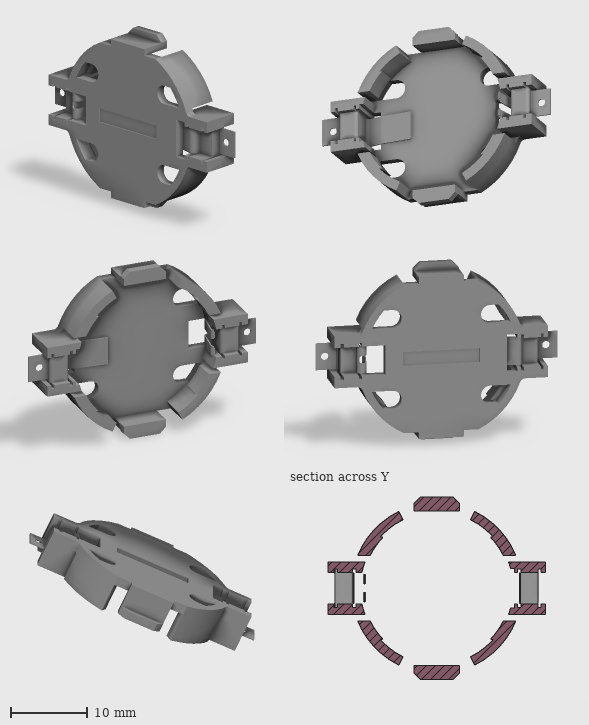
import cadquery as cq
import math


depth = 5.2
base_depth = 1.25
rim_radius = 11.25
cell_radius = 9.98
flat_height = 10.08
notch_half_width = 4.95

latch_half_width = 3.0
latch_height = 10.98
latch_depth = 4.33
hook_height = 23.95 / 2
hook_depth = 1.1
hook_chamfer = 0.87

arm_end = 14.25
arm_half_height = 3.5
arm_gap = 2.0
arm_fillet = 0.7

opening_radius = 1.25
opening_x = 6.55
opening_z = 5.5
opening_reach = 10.2
opening_depth = 1.87
lip_radius = 9.7
lip_slope = 0.2

left_window_inner = 7.5
right_window_inner = 8.72
right_window_outer = 10.17
right_window_half = 2.6

label_length = 10.27
label_height = 1.87
label_depth = 0.15

sheet = 0.2
clip_inner = 11.0
clip_outer = 13.26
clip_radius = 0.307
tab_radius = 0.25
spring_radius = 0.533
tab_y = 3.23
web_y = latch_depth
tab_half = 1.8
spring_half = 1.9
ear_half = 2.45
hole_radius = 0.5
tab_end = 16.15
left_hole_x = 14.92
right_hole_x = 14.6

groove_width = 0.4
groove_half = 2.5
block_front = 2.07
block_back = web_y - sheet / 2 - clip_radius
left_block_outer = clip_outer - 0.23
right_block_outer = clip_outer

prong_bend_y = 1.35
prong_lean = 9
prong_length = 3.2
prong_tip_radius = 0.3
prong_tip_turn = 90
prong_slot_half = 0.52
prong_slot_end = 10.75
prong_slot_corner = 0.32
nub_half_width = 0.42
nub_height = 0.13

leaf_bend_y = 1.55
leaf_rise = 13
leaf_tip_rise = 5
leaf_rise_length = 1.68
leaf_kink_radius = 0.97
leaf_end = 4.23


def slab(y0, y1):
    """XZ workplane at y0, and the extrusion distance that reaches y1."""
    return cq.Workplane("XZ", origin=(0, y0, 0)), y0 - y1


def block(x0, x1, y0, y1, z0, z1):
    return cq.Workplane("XY").box(x1 - x0, y1 - y0, z1 - z0, centered=False).translate((x0, y0, z0))


def disc(radius, y0, y1):
    plane, distance = slab(y0, y1)
    return plane.circle(radius).extrude(distance)


def four_ways(shape):
    """The shape together with its mirror images in X and Z."""
    pair = shape.union(shape.mirror("YZ"))
    return pair.union(pair.mirror("XY"))


def arm_blend():
    """Concave corner between the floor disc and an arm."""
    centre_z = arm_half_height + arm_fillet
    centre_x = math.sqrt((rim_radius + arm_fillet) ** 2 - centre_z**2)
    corner = block(cell_radius, centre_x, 0, base_depth, arm_half_height, centre_z)
    touch = rim_radius / (rim_radius + arm_fillet)
    plane, distance = slab(0, base_depth)
    wedge = plane.polyline(
        [
            (cell_radius, arm_half_height),
            (centre_x, arm_half_height),
            (centre_x, centre_z),
            (centre_x * touch, centre_z * touch),
        ]
    ).close().extrude(distance)
    round_cut = disc(arm_fillet, 0, base_depth).translate((centre_x, 0, centre_z))
    return corner.intersect(wedge).cut(round_cut)


def body_disc():
    """Rim and floor, cut flat at top and bottom."""
    flats = block(-rim_radius, rim_radius, 0, depth, -flat_height, flat_height)
    return disc(rim_radius, 0, depth).intersect(flats)


def rim_notches():
    """Openings above the floor: radial ones around the latches, straight ones beside the arms."""
    spread = rim_radius * notch_half_width / flat_height
    plane, distance = slab(base_depth, depth)
    radial = plane.polyline([(0, 0), (spread, rim_radius), (-spread, rim_radius)]).close().extrude(distance)
    wall_end = opening_z - opening_radius
    beside_arms = block(-rim_radius, rim_radius, base_depth, depth, -wall_end, wall_end)
    return radial.union(radial.mirror("XY")).union(beside_arms)


def latch():
    post = block(-latch_half_width, latch_half_width, 0, latch_depth, flat_height, latch_height)
    hook = block(
        -latch_half_width, latch_half_width, latch_depth - hook_depth, latch_depth, flat_height, hook_height
    )
    hook = hook.edges("|Y and >Z").chamfer(hook_chamfer)
    return post.union(hook)


def opening():
    """Floor opening: half-round towards the centre, concentric with the rim on the outside."""
    stadium = disc(opening_radius, 0, opening_depth).translate((opening_x, 0, opening_z))
    straight = block(
        opening_x, rim_radius, 0, opening_depth, opening_z - opening_radius, opening_z + opening_radius
    )
    return stadium.union(straight).intersect(disc(opening_reach, 0, opening_depth))


def snap_lip():
    """Lip with a conical underside on the inside of the rim, facing an opening."""
    profile = [
        (cell_radius, opening_depth),
        (rim_radius, opening_depth),
        (rim_radius, depth),
        (lip_radius, depth),
        (lip_radius, opening_depth + lip_slope),
    ]
    ring = cq.Workplane("XY").polyline(profile).close().revolve(360, (0, 0, 0), (0, 1, 0))
    span = block(0, rim_radius, 0, depth, opening_z - opening_radius, opening_z + opening_radius)
    return ring.intersect(span).intersect(disc(rim_radius, 0, depth))


def groove(x0, x1):
    return block(x0, x1, 0, depth, -groove_half, groove_half)


def make_housing():
    body = body_disc().cut(rim_notches())
    body = body.union(latch()).union(latch().mirror("XY"))
    body = body.union(block(-arm_end, arm_end, 0, depth, -arm_half_height, arm_half_height))
    body = body.union(four_ways(arm_blend()))
    body = body.cut(disc(cell_radius, base_depth, depth))

    body = body.union(four_ways(snap_lip())).cut(four_ways(opening()))

    body = body.cut(block(-arm_end, -left_window_inner, 0, depth, -arm_gap, arm_gap))
    body = body.cut(block(right_window_inner, arm_end, 0, depth, -arm_gap, arm_gap))
    body = body.cut(
        block(right_window_inner, right_window_outer, 0, depth, -right_window_half, right_window_half)
    )

    body = body.union(block(-left_block_outer, -clip_inner, block_front, block_back, -arm_gap, arm_gap))
    body = body.union(block(clip_inner, right_block_outer, block_front, block_back, -arm_gap, arm_gap))
    body = body.cut(groove(-clip_outer - sheet, -left_block_outer))
    body = body.cut(groove(right_block_outer, right_block_outer + groove_width))
    body = body.cut(groove(-clip_inner, -clip_inner + groove_width))
    body = body.cut(groove(clip_inner - groove_width, clip_inner))

    half_length = label_length / 2
    return body.cut(block(-half_length, half_length, 0, label_depth, -label_height / 2, label_height / 2))


def bent_strip(x, y, steps):
    """Sheet-metal strip starting at (x, y) towards +X, along the middle of the sheet.

    Each step is ("flat", length, half width) or ("bend", angle, radius, half width); positive
    angles turn left.
    """
    heading = 0
    strip = None
    for kind, amount, *rest in steps:
        half = rest[-1]
        if kind == "flat":
            piece = block(0, amount, -sheet / 2, sheet / 2, -half, half)
            end = (amount, 0)
        else:
            side = math.copysign(1, amount)
            radius = rest[0]
            turn = math.radians(abs(amount))

            def arc_point(r, angle):
                return (r * math.sin(angle), side * (radius - r * math.cos(angle)))

            near = radius - sheet / 2
            far = radius + sheet / 2
            piece = (
                cq.Workplane("XY")
                .moveTo(*arc_point(near, 0))
                .threePointArc(arc_point(near, turn / 2), arc_point(near, turn))
                .lineTo(*arc_point(far, turn))
                .threePointArc(arc_point(far, turn / 2), arc_point(far, 0))
                .close()
                .extrude(half, both=True)
            )
            end = arc_point(radius, turn)
        piece = piece.rotate((0, 0, 0), (0, 0, 1), heading).translate((x, y, 0))
        strip = piece if strip is None else strip.union(piece)
        angle = math.radians(heading)
        x += end[0] * math.cos(angle) - end[1] * math.sin(angle)
        y += end[0] * math.sin(angle) + end[1] * math.cos(angle)
        if kind == "bend":
            heading += amount
    return strip


def make_contact(hole_x, outer_bend_half, spring_y, spring_steps):
    """Contact on the -X side: solder tab, clip over the block, then the given spring from spring_y."""
    tab_mid = tab_y + sheet / 2
    outer_leg = clip_outer + sheet / 2
    inner_leg = clip_inner - sheet / 2
    tab_length = tab_end - outer_leg - tab_radius
    bend_y = block_back
    steps = [
        ("flat", tab_length, tab_half),
        ("bend", 90, tab_radius, tab_half),
        ("flat", bend_y - tab_mid - tab_radius, ear_half),
        ("bend", -90, clip_radius, outer_bend_half),
        ("flat", outer_leg - inner_leg - 2 * clip_radius, arm_gap),
        ("bend", -90, clip_radius, arm_gap),
        ("flat", bend_y - block_front, ear_half),
        ("flat", block_front - spring_y, spring_half),
    ]
    contact = bent_strip(-tab_end, tab_mid, steps + spring_steps)
    return contact.cut(disc(hole_radius, 0, depth).translate((-hole_x, 0, 0)))


def make_pronged_contact():
    """Contact whose spring is a U-bend with two leaning prongs, curled back at the tips."""
    spring = [
        ("bend", 180 - prong_lean, spring_radius, spring_half),
        ("flat", prong_length, tab_half),
        ("bend", prong_tip_turn, prong_tip_radius, tab_half),
    ]
    contact = make_contact(left_hole_x, ear_half, prong_bend_y, spring)

    slot = block(-prong_slot_end, -left_window_inner, 0, depth, -prong_slot_half, prong_slot_half)
    contact = contact.cut(slot.edges("|Y and <X").fillet(prong_slot_corner))

    lean = math.radians(prong_lean)
    spring_x = -clip_inner + sheet / 2 + spring_radius
    side_step = spring_radius - prong_tip_radius
    tip_x = spring_x + side_step * math.cos(lean) + prong_length * math.sin(lean)
    tip_y = prong_bend_y - side_step * math.sin(lean) + prong_length * math.cos(lean)

    tip_outer = prong_tip_radius + sheet / 2
    nub_z = (tab_half + prong_slot_half) / 2
    for z in (-nub_z, nub_z):
        round_bar = (
            cq.Workplane("XY", origin=(tip_x, tip_y, z))
            .circle(tip_outer + nub_height)
            .extrude(nub_half_width, both=True)
        )
        crown = block(
            tip_x, tip_x + tip_outer, tip_y + prong_tip_radius, depth, z - nub_half_width, z + nub_half_width
        )
        contact = contact.union(round_bar.intersect(crown))
    return contact


def make_leaf_contact():
    """Contact whose spring is a leaf that rises through the window to lie under the cell."""
    rise = math.radians(leaf_rise)
    tip_rise = math.radians(leaf_tip_rise)
    spring_x = clip_inner - sheet / 2 - spring_radius
    rise_end = spring_x - spring_radius * math.sin(rise) - leaf_rise_length * math.cos(rise)
    kink_end = rise_end - leaf_kink_radius * (math.sin(rise) - math.sin(tip_rise))
    spring = [
        ("bend", 90 + leaf_rise, spring_radius, spring_half),
        ("flat", leaf_rise_length, spring_half),
        ("bend", leaf_tip_rise - leaf_rise, leaf_kink_radius, spring_half),
        ("flat", (kink_end - leaf_end) / math.cos(tip_rise), spring_half),
    ]
    return make_contact(right_hole_x, arm_gap, leaf_bend_y, spring).mirror("YZ")


housing = make_housing()
pronged_contact = make_pronged_contact()
leaf_contact = make_leaf_contact()

result = cq.Compound.makeCompound(
    [housing.solids().val(), pronged_contact.solids().val(), leaf_contact.solids().val()]
)